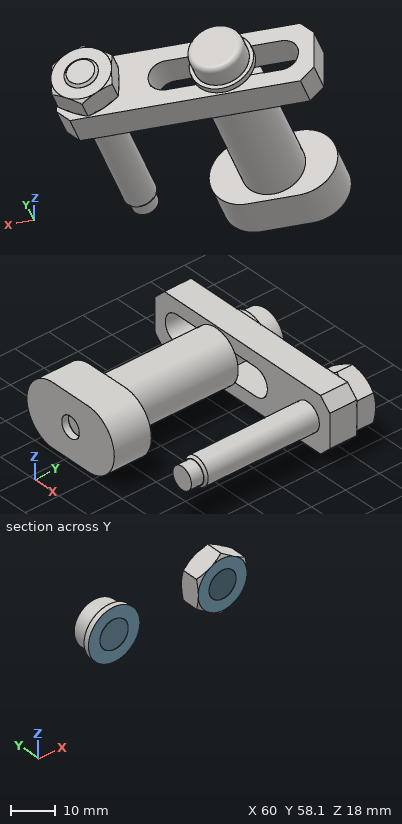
import cadquery as cq
import math


plate_length = 60.0
plate_thickness = 8.0
plate_height = 16.0
plate_corner_chamfer = 3.2
screw_from_plate_end = 21.1
slot_length = 35.0
slot_width = 8.0
pin_from_plate_end = 7.55

foot_length = 30.0
foot_height = 18.0
foot_thickness = 11.0

sleeve_diameter = 15.0
sleeve_length = 32.0
washer_thickness = 1.5

screw_shank_diameter = 8.0
screw_end_diameter = 6.0
screw_head_diameter = 13.0
screw_head_height = 5.6
screw_head_fillet = 1.3
screw_tip_chamfer = 0.2
screw_tip_recess = 1.8

pin_diameter = 8.0
pin_chamfer = 0.65
pin_tip_diameter = 6.4
pin_tip_length = 3.6
pin_reach = 37.0
pin_beyond_nut = 0.6

nut_across_flats = 14.1
nut_height = 6.0
nut_chamfer_angle = 30.0

plate_left = -screw_from_plate_end
plate_center_x = plate_left + plate_length / 2
pin_x = plate_left + plate_length - pin_from_plate_end
foot_back_y = -sleeve_length
foot_front_y = foot_back_y - foot_thickness
washer_back_y = plate_thickness + washer_thickness
nut_back_y = plate_thickness + nut_height
nut_across_corners = nut_across_flats / math.cos(math.radians(30))


def sketch_plane(y, x=0.0):
    """Workplane parallel to XZ at the given Y, whose extrusions run to +Y."""
    return cq.Workplane(cq.Plane(origin=(x, y, 0), xDir=(1, 0, 0), normal=(0, 1, 0)))


def cylinder(diameter, start_y, end_y, x=0.0):
    """Round bar along Y between two Y positions."""
    return sketch_plane(start_y, x).circle(diameter / 2).extrude(end_y - start_y)


def make_plate():
    """Bar with chamfered corners, an oblong slot for the screw and a round hole for the pin."""
    bar = (
        sketch_plane(0, plate_center_x)
        .rect(plate_length, plate_height)
        .extrude(plate_thickness)
        .edges("|Y")
        .chamfer(plate_corner_chamfer)
    )
    slot = sketch_plane(0).slot2D(slot_length, slot_width).extrude(plate_thickness)
    pin_hole = cylinder(pin_diameter, 0, plate_thickness, pin_x)
    return bar.cut(slot).cut(pin_hole)


def make_foot():
    """Oblong block with a through hole for the thinner end of the screw."""
    block = sketch_plane(foot_front_y).slot2D(foot_length, foot_height).extrude(foot_thickness)
    return block.cut(cylinder(screw_end_diameter, foot_front_y, foot_back_y))


def make_ring(start_y, end_y):
    """Tube that fits around the screw shank, used for both the sleeve and the washer."""
    bore = cylinder(screw_shank_diameter, start_y, end_y)
    return cylinder(sleeve_diameter, start_y, end_y).cut(bore)


def make_screw():
    """Round-headed screw; its thinner end stops short of the front face of the foot."""
    head_end_y = washer_back_y + screw_head_height
    head = cylinder(screw_head_diameter, washer_back_y, head_end_y)
    head = head.faces(">Y").edges().fillet(screw_head_fillet)
    shank = cylinder(screw_shank_diameter, foot_back_y, washer_back_y)
    end = cylinder(screw_end_diameter, foot_front_y + screw_tip_recess, foot_back_y)
    end = end.faces("<Y").edges().chamfer(screw_tip_chamfer)
    return head.union(shank).union(end)


def make_pin():
    """Pin chamfered at both ends, with a thinner round tip at the front."""
    shoulder_y = pin_tip_length - pin_reach
    body = cylinder(pin_diameter, shoulder_y, nut_back_y + pin_beyond_nut, pin_x)
    body = body.faces("<Y or >Y").edges().chamfer(pin_chamfer)
    tip = cylinder(pin_tip_diameter, -pin_reach, shoulder_y, pin_x)
    return body.union(tip)


def nut_envelope():
    """Disc with conical rims that bevels the corners of the nut at both ends."""
    corner_radius = nut_across_corners / 2
    flat_radius = nut_across_flats / 2
    bevel_height = (corner_radius - flat_radius) * math.tan(math.radians(nut_chamfer_angle))
    profile = (
        cq.Workplane("XY", origin=(pin_x, plate_thickness, 0))
        .lineTo(flat_radius, 0)
        .lineTo(corner_radius, bevel_height)
        .lineTo(corner_radius, nut_height - bevel_height)
        .lineTo(flat_radius, nut_height)
        .lineTo(0, nut_height)
        .close()
    )
    return profile.revolve(360, (0, 0, 0), (0, 1, 0))


def make_nut():
    """Hexagonal nut with two corners on the vertical axis and a hole for the pin."""
    hexagon = (
        sketch_plane(plate_thickness, pin_x)
        .transformed(rotate=(0, 0, 90))
        .polygon(6, nut_across_corners)
        .extrude(nut_height)
    )
    pin_hole = cylinder(pin_diameter, plate_thickness, nut_back_y, pin_x)
    return hexagon.intersect(nut_envelope()).cut(pin_hole)


plate = make_plate()
foot = make_foot()
sleeve = make_ring(foot_back_y, 0)
washer = make_ring(plate_thickness, washer_back_y)
screw = make_screw()
pin = make_pin()
nut = make_nut()

result = cq.Compound.makeCompound(
    [plate.val(), foot.val(), sleeve.val(), washer.val(), screw.val(), pin.val(), nut.val()]
)